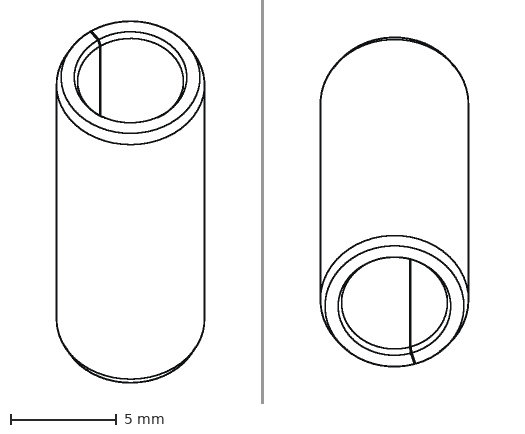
import cadquery as cq

length = 20.0
outer_diameter = 7.0
bore_diameter = 5.0
end_taper_height = 0.6
end_taper_inset = 0.22
bore_chamfer_inset = 0.15
bore_chamfer_depth = 0.32
slit_width = 0.05

outer_radius = outer_diameter / 2
bore_radius = bore_diameter / 2
half_length = length / 2


def make_sleeve():
    """Revolve the wall section, with tapered outer ends and chamfered bore mouths."""
    end_outer_radius = outer_radius - end_taper_inset
    end_bore_radius = bore_radius + bore_chamfer_inset
    taper_start = half_length - end_taper_height
    chamfer_start = half_length - bore_chamfer_depth
    section = [
        (bore_radius, -chamfer_start),
        (end_bore_radius, -half_length),
        (end_outer_radius, -half_length),
        (outer_radius, -taper_start),
        (outer_radius, taper_start),
        (end_outer_radius, half_length),
        (end_bore_radius, half_length),
        (bore_radius, chamfer_start),
    ]
    return cq.Workplane("XZ").polyline(section).close().revolve(360, (0, 0), (0, 1))


def make_slit():
    """Full-length cutter through the -X wall, with one face on the XZ plane."""
    cutter = cq.Workplane("XY").box(outer_radius, slit_width, length)
    return cutter.translate((-outer_radius / 2, slit_width / 2, 0))


result = make_sleeve().cut(make_slit())